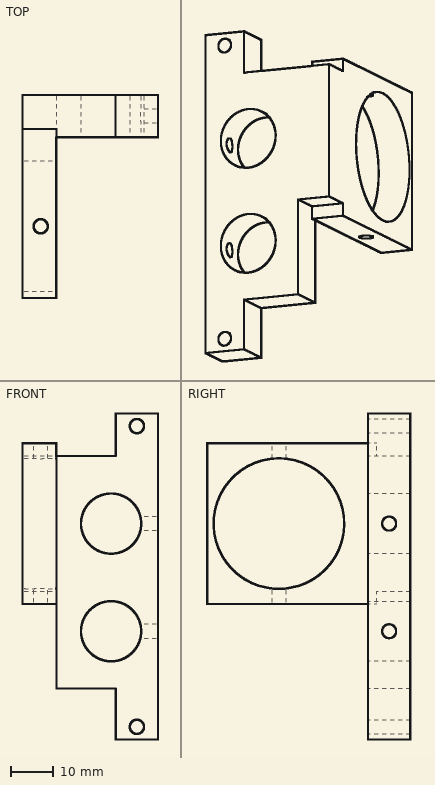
import cadquery as cq

total_width = 32.0
total_depth = 48.0
total_height = 77.0

plate_thickness = 10.0
ear_width = 10.0
top_ear_height = 10.0
bottom_ear_height = 12.0
body_top = total_height - top_ear_height

arm_thickness = 8.0
arm_top = 70.0
arm_height = 38.0
arm_bottom = arm_top - arm_height
arm_back = 8.0
web_step = arm_top - body_top
web_bottom = arm_bottom + web_step

bore_diameter = 14.2
bore_x = 20.95
upper_bore_z = 51.0
bore_pitch = 25.4
bore_heights = (upper_bore_z, upper_bore_z - bore_pitch)
screw_diameter = 3.3
ear_hole_x = total_width - ear_width / 2
ear_hole_inset = 3.0
ring_diameter = 30.8
ring_y = -31.0
ring_z = (arm_top + arm_bottom) / 2
arm_hole_x = 4.3


def block(x_range, y_range, z_range):
    """Box spanning the given (low, high) ranges."""
    low = [span[0] for span in (x_range, y_range, z_range)]
    size = [span[1] - span[0] for span in (x_range, y_range, z_range)]
    return cq.Workplane("XY").box(*size, centered=False).translate(tuple(low))


def drill(diameter, start, direction, length):
    """Cylinder running from start along direction."""
    solid = cq.Solid.makeCylinder(diameter / 2, length, cq.Vector(*start), cq.Vector(*direction))
    return cq.Workplane(obj=solid)


plate_y = (-plate_thickness, 0)
body = block((arm_thickness, total_width), plate_y, (bottom_ear_height, body_top))
ear_strip = block((total_width - ear_width, total_width), plate_y, (0, total_height))

arm = block((0, arm_thickness), (-total_depth, -arm_back), (arm_bottom, arm_top))
web = block((0, arm_thickness), plate_y, (web_bottom, body_top))
result = body.union(ear_strip).union(web).union(arm)

for bore_z in bore_heights:
    result = result.cut(drill(bore_diameter, (bore_x, 0, bore_z), (0, -1, 0), plate_thickness))
    screw_start = (total_width, -plate_thickness / 2, bore_z)
    result = result.cut(drill(screw_diameter, screw_start, (-1, 0, 0), total_width - bore_x))

for hole_z in (ear_hole_inset, total_height - ear_hole_inset):
    result = result.cut(drill(screw_diameter, (ear_hole_x, 0, hole_z), (0, -1, 0), plate_thickness))

result = result.cut(drill(ring_diameter, (0, ring_y, ring_z), (1, 0, 0), arm_thickness))
result = result.cut(drill(screw_diameter, (arm_hole_x, ring_y, arm_bottom), (0, 0, 1), arm_height))